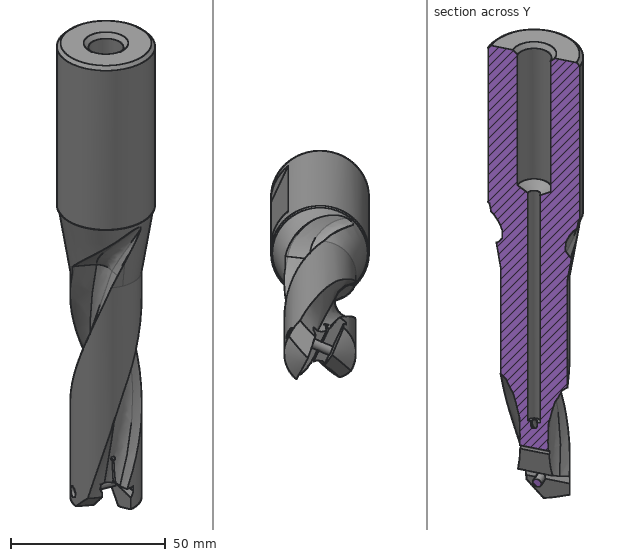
import cadquery as cq
import math

total_length = 171.7

shank_radius = 31.8 / 2
shank_bottom = 110.9
shank_top_chamfer = 1.2
shank_bottom_chamfer = 0.5
flat_depth = 1.5
flat_bottom = 117.6
flat_top = 166.0

neck_bottom = 87.4
shaft_radius = 23.2 / 2
point_height = 3.3

slot_width = 6.7
slot_floor_width = 9.0
slot_floor = 11.3
slot_taper_top = 9.5
slot_taper_bottom = 7.5

slit_width = 0.5
slit_top = 19.9
slit_relief_diameter = 1.4

gash_offset = 2.0

flute_count = 2
flute_start_angle = -104.0
flute_twist = 2.01
flute_tip_width = 56.0
flute_widening = 0.5243
flute_full_width = 80.0
flute_below_tip = 5.2
flute_top = 91.8
flute_stations = 12
flute_mouth_radius = 18.0
flank_join_radius = 5.2
floor_radius = 5.2
wall_join_radius = 8.5
flank_join_share = 0.33
floor_share = 0.7
wall_join_share = 0.93

runout_top = 109.5
runout_radius = 15.8
runout_climb = 0.95
runout_top_width = 22.0
runout_stations = 4

bore_mouth_diameter = 14.5
bore_diameter = 11.3
bore_depth = 51.5
bore_point_angle = 118.0
channel_diameter = 4.1
channel_bottom = 30.9
outlet_diameter = 1.9
outlet_angle = -25.0
outlet_height = 5.3
outlet_overrun = 1.2

pin_diameter = 3.1
pin_x = -1.0
pin_z = 7.5
pin_end_recess = 1.5
pin_end = shaft_radius - pin_end_recess
pin_mouth_diameter = 3.8


def polar(radius, angle, height):
    """Point at an angle measured about Z from -Y toward +X."""
    turn = math.radians(angle)
    return cq.Vector(radius * math.sin(turn), -radius * math.cos(turn), height)


def cylinder_between(start, end, radius):
    axis = end - start
    return cq.Solid.makeCylinder(radius, axis.Length, start, axis)


def repeat_around_axis(shape, count):
    return [shape.rotate((0, 0, 0), (0, 0, 1), 360 / count * i) for i in range(count)]


def drill_blank():
    """Shank, neck, shaft and conical point, turned about Z."""
    tip_corner_radius = math.hypot(gash_offset, slot_width / 2)
    point_slope = point_height / (shaft_radius - tip_corner_radius)
    apex = point_height - point_slope * shaft_radius
    neck_top_radius = shank_radius - shank_bottom_chamfer
    return (
        cq.Workplane("XZ")
        .moveTo(0, apex)
        .lineTo(shaft_radius, point_height)
        .lineTo(shaft_radius, neck_bottom)
        .lineTo(neck_top_radius, shank_bottom)
        .lineTo(shank_radius, shank_bottom + shank_bottom_chamfer)
        .lineTo(shank_radius, total_length - shank_top_chamfer)
        .lineTo(shank_radius - shank_top_chamfer, total_length)
        .lineTo(0, total_length)
        .close()
        .revolve(360, (0, 0, 0), (0, 1, 0))
    )


def shank_flat():
    """Clamping flat on the +Y side, short of both ends of the shank."""
    flat_y = shank_radius - flat_depth
    return cq.Workplane("XY").box(
        2 * shank_radius, 2 * flat_depth, flat_top - flat_bottom, centered=(True, False, False)
    ).translate((0, flat_y, flat_bottom))


def trailing_angle(height):
    return flute_start_angle + flute_twist * height


def flute_width(height):
    return min(flute_full_width, flute_tip_width + flute_widening * height)


def flute_section(height, width, climb=0.0):
    """Closed outline of one flute: sloping flank, round floor, steep wall and open mouth."""
    leading = trailing_angle(height) - width

    def mouth(share):
        return polar(flute_mouth_radius, leading + share * width, height)

    def across(radius, share):
        climbed_radius = radius + climb * (runout_radius - radius)
        return polar(climbed_radius, leading + share * width, height)

    leading_edge = across(shaft_radius, 0)
    flank_join = across(flank_join_radius, flank_join_share)
    floor_middle = across(floor_radius, floor_share)
    wall_join = across(wall_join_radius, wall_join_share)
    trailing_edge = across(shaft_radius, 1)
    return cq.Wire.assembleEdges([
        cq.Edge.makeLine(leading_edge, flank_join),
        cq.Edge.makeThreePointArc(flank_join, floor_middle, wall_join),
        cq.Edge.makeLine(wall_join, trailing_edge),
        cq.Edge.makeLine(trailing_edge, mouth(1)),
        cq.Edge.makeThreePointArc(mouth(1), mouth(0.5), mouth(0)),
        cq.Edge.makeLine(mouth(0), leading_edge),
    ])


def helical_flute():
    step = (flute_top + flute_below_tip) / (flute_stations - 1)
    heights = [step * i - flute_below_tip for i in range(flute_stations)]
    return cq.Solid.makeLoft([flute_section(height, flute_width(height)) for height in heights])


def flute_runout():
    start_width = flute_width(flute_top)
    sections = []
    for i in range(runout_stations):
        progress = i / (runout_stations - 1)
        height = flute_top + progress * (runout_top - flute_top)
        width = start_width + progress * (runout_top_width - start_width)
        sections.append(flute_section(height, width, progress * runout_climb))
    return cq.Solid.makeLoft(sections)


def insert_slot():
    half_width = slot_width / 2
    half_floor = slot_floor_width / 2
    below = -point_height
    return (
        cq.Workplane("YZ")
        .polyline([
            (-half_width, below),
            (-half_width, slot_taper_bottom),
            (-half_floor, slot_taper_top),
            (-half_floor, slot_floor),
            (half_floor, slot_floor),
            (half_floor, slot_taper_top),
            (half_width, slot_taper_bottom),
            (half_width, below),
        ])
        .close()
        .extrude(shaft_radius, both=True)
    )


def clamping_slit():
    slit = cq.Workplane("XY").box(
        2 * shaft_radius, slit_width, slit_top - slot_floor, centered=(True, True, False)
    ).translate((0, 0, slot_floor))
    relief = (
        cq.Workplane("YZ").center(0, slit_top).circle(slit_relief_diameter / 2).extrude(shaft_radius, both=True)
    )
    return slit.union(relief)


def point_gash():
    """Wedge in front of the cutting edge of the -Y half, under a 45 degree plane."""
    reach = shaft_radius + gash_offset
    low = -point_height
    return (
        cq.Workplane("XZ")
        .polyline([(low - gash_offset, low), (reach - gash_offset, reach), (reach, low)])
        .close()
        .extrude(shaft_radius)
    )


def coolant_bore():
    """Countersunk bore with a drill-point bottom and a narrow channel below it."""
    mouth_radius = bore_mouth_diameter / 2
    bore_radius = bore_diameter / 2
    channel_radius = channel_diameter / 2
    countersink_depth = mouth_radius - bore_radius
    bore_bottom = total_length - bore_depth
    cone_height = (bore_radius - channel_radius) / math.tan(math.radians(bore_point_angle / 2))
    return (
        cq.Workplane("XZ")
        .polyline([
            (0, total_length),
            (mouth_radius, total_length),
            (bore_radius, total_length - countersink_depth),
            (bore_radius, bore_bottom),
            (channel_radius, bore_bottom - cone_height),
            (channel_radius, channel_bottom),
            (0, channel_bottom),
        ])
        .close()
        .revolve(360, (0, 0, 0), (0, 1, 0))
    )


def coolant_outlet():
    """Slanted channel from the foot of the coolant bore, out through the land near the point."""
    start = cq.Vector(0, 0, channel_bottom)
    exit_point = polar(shaft_radius, outlet_angle, outlet_height)
    overrun_point = start + (exit_point - start) * outlet_overrun
    return cylinder_between(start, overrun_point, outlet_diameter / 2)


def across_body(start_y, end_y, diameter):
    """Round bar on the pin axis, parallel to Y."""
    start = cq.Vector(pin_x, start_y, pin_z)
    end = cq.Vector(pin_x, end_y, pin_z)
    return cylinder_between(start, end, diameter / 2)


def clamping_pin():
    return across_body(-pin_end, pin_end, pin_diameter)


def pin_mouth(side):
    """Recess outside the pin end on the +Y (side = 1) or -Y (side = -1) face."""
    return across_body(side * pin_end, side * shaft_radius, pin_mouth_diameter)


def drill_body():
    body = drill_blank().cut(shank_flat())
    for cutter in (helical_flute(), flute_runout(), point_gash().val(), coolant_outlet()):
        for copy in repeat_around_axis(cutter, flute_count):
            body = body.cut(cq.Workplane(copy))
    body = body.cut(insert_slot()).cut(clamping_slit()).cut(coolant_bore())
    for cutter in (clamping_pin(), pin_mouth(1), pin_mouth(-1)):
        body = body.cut(cq.Workplane(cutter))
    return body


drill = drill_body()
pin = clamping_pin()
result = cq.Compound.makeCompound([drill.val(), pin])